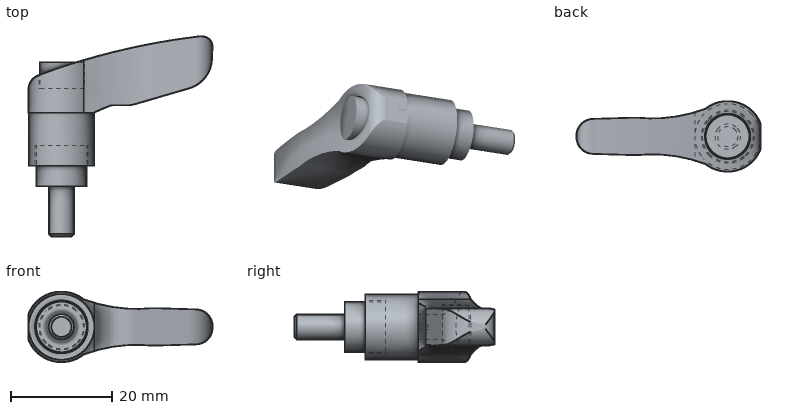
import cadquery as cq


hub_diameter = 13.0
hub_bottom = -10.55
bore_diameter = 10.5
bore_depth = 4.05
bushing_diameter = 10.0
bushing_bottom = -14.6
pin_diameter = 5.0
pin_bottom = -24.55
pin_chamfer = 0.5

button_diameter = 8.6
button_top = 9.95
button_pocket_diameter = 9.0
button_pocket_floor = 4.75

head_diameter = 14.0
flat_x = -6.55
arm_tip_x = 36.5 + flat_x
arm_top = 39.67 + pin_bottom
trim_allowance = 0.8

slot_width = 0.87
slot_height = 1.9


def cylinder(diameter, bottom, top):
    """Cylinder on the spindle axis between two Y levels."""
    plane = cq.Workplane("XZ", origin=(0, bottom, 0))
    return plane.circle(diameter / 2).extrude(bottom - top)


def side_profile():
    """Curved lever outline in the XY plane, extruded past both sides of the head for trimming."""
    return (
        cq.Workplane("XY")
        .moveTo(flat_x, 0)
        .lineTo(flat_x, 4.13)
        .threePointArc((-5.95, 6.3), (-4.32, 7.45))
        .threePointArc((10.4, 12.02), (26.55, 15.0))
        .threePointArc((27.55, arm_top), (28.35, 15.05))
        .threePointArc((29.45, 14.35), (arm_tip_x, 13.1))
        .lineTo(29.85, 11.03)
        .threePointArc((28.7, 7.22), (25.1, 4.72))
        .lineTo(14.8, 1.7)
        .threePointArc((13.75, 1.45), (12.65, 1.43))
        .lineTo(10.25, 1.43)
        .lineTo(9.55, 1.3)
        .lineTo(7.58, 0.48)
        .lineTo(hub_diameter / 2, 0)
        .close()
        .extrude(head_diameter / 2 + trim_allowance, both=True)
    )


def arm_plan():
    """Waisted arm with a rounded tip in the XZ plane, extruded past the lever top for trimming."""
    shoulder = (4.4, 5.47)
    waist = (11.9, 3.73)
    bulge_start = (17.95, 3.73)
    bulge_end = (18.6, 3.73)
    tip_start = (26.55, 3.5)
    tip_middle = (29.05, 2.4)
    return (
        cq.Workplane("XZ")
        .moveTo(0, 0)
        .lineTo(*shoulder)
        .threePointArc(waist, bulge_start)
        .lineTo(*bulge_end)
        .lineTo(*tip_start)
        .threePointArc(tip_middle, (arm_tip_x, 0))
        .mirrorX()
        .extrude(-arm_top - trim_allowance)
    )


def lever():
    """Round head and arm trimmed to the side profile, with the button pocket and slot."""
    plan = cylinder(head_diameter, 0, arm_top + trim_allowance).union(arm_plan())
    body = plan.intersect(side_profile())
    pocket = cylinder(button_pocket_diameter, button_pocket_floor, arm_top)
    slot_length = 2 * (abs(flat_x) - bore_diameter / 2)
    slot = cq.Workplane("XY").box(slot_length, slot_height, slot_width)
    return body.cut(pocket).cut(slot.translate((flat_x, slot_height / 2, 0)))


hub = cylinder(hub_diameter, hub_bottom, slot_height).cut(
    cylinder(bore_diameter, hub_bottom, hub_bottom + bore_depth)
)
bushing = cylinder(bushing_diameter, bushing_bottom, 0)
pin = cylinder(pin_diameter, pin_bottom, 0).faces("<Y").chamfer(pin_chamfer)
button = cylinder(button_diameter, 0, button_top)

result = lever().union(hub).union(bushing).union(pin).union(button)